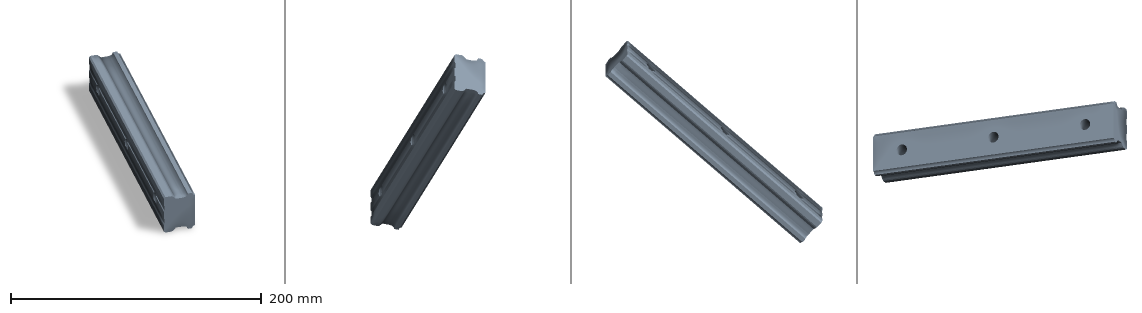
import cadquery as cq

length = 210.0
depth = 26.0
height = 34.0
half_height = height / 2

base_chamfer = 1.3
relief_depth = 0.6
relief_inner = 3.5
relief_inner_slope = 0.5
relief_outer = 9.7
relief_outer_slope = 1.3

foot_width = 6.3
foot_bevel_width = 1.3
foot_bevel_drop = 0.6
groove_depth = 3.2
floor_start = 10.0
floor_end = 16.0
race_start = 17.0
race_start_depth = 3.0
race_end = 20.0
race_bulge = 0.52

notch_width = 2.5
notch_drop = 2.5
notch_bulge = 0.5

hole_diameter = 9.0
hole_pitch = 80.0
hole_count = 3


def make_half_rail():
    """Extrude the half of the section above Z = 0, with Y = 0 on the base."""
    race_middle = (
        (race_start + race_end) / 2 + race_bulge,
        half_height - race_start_depth / 2 - race_bulge,
    )
    notch_middle = (
        depth - notch_width / 2 - notch_bulge,
        half_height - notch_drop / 2 - notch_bulge,
    )
    section = (
        cq.Workplane("YZ")
        .moveTo(0, 0)
        .lineTo(0, relief_inner)
        .lineTo(relief_depth, relief_inner + relief_inner_slope)
        .lineTo(relief_depth, relief_outer - relief_outer_slope)
        .lineTo(0, relief_outer)
        .lineTo(0, half_height - base_chamfer)
        .lineTo(base_chamfer, half_height)
        .lineTo(foot_width, half_height)
        .lineTo(foot_width + foot_bevel_width, half_height - foot_bevel_drop)
        .lineTo(floor_start, half_height - groove_depth)
        .lineTo(floor_end, half_height - groove_depth)
        .lineTo(race_start, half_height - race_start_depth)
        .threePointArc(race_middle, (race_end, half_height))
        .lineTo(depth - notch_width, half_height)
        .threePointArc(notch_middle, (depth, half_height - notch_drop))
        .lineTo(depth, 0)
        .close()
    )
    return section.extrude(length / 2, both=True)


def make_mounting_holes():
    """Cylinders along Y, evenly spaced about the middle of the rail."""
    return (
        cq.Workplane("XZ")
        .rarray(hole_pitch, 2, hole_count, 1)
        .circle(hole_diameter / 2)
        .extrude(-depth)
    )


half_rail = make_half_rail()
rail = half_rail.union(half_rail.mirror("XY")).clean()
result = rail.cut(make_mounting_holes()).translate((0, -depth / 2, 0))